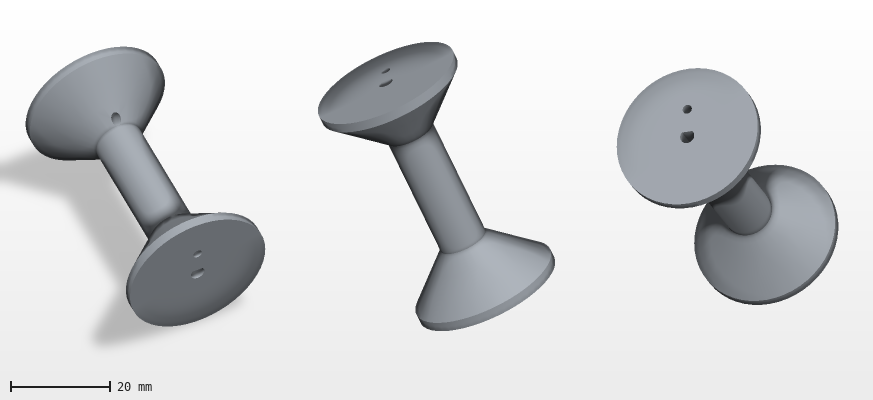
import cadquery as cq

length = 50
flange_radius = 15
core_radius = 5
rim_width = 2
cone_length = flange_radius - core_radius

bore_diameter = 3
bore_flat_height = 1

thread_hole_diameter = 1.95
thread_hole_height = 6

half_length = length / 2
rim_inner_x = half_length - rim_width
core_end_x = rim_inner_x - cone_length


def spool_body():
    """Revolve the half profile of the core, cones and rims about X."""
    return (
        cq.Workplane("XY")
        .moveTo(-half_length, 0)
        .lineTo(-half_length, flange_radius)
        .lineTo(-rim_inner_x, flange_radius)
        .lineTo(-core_end_x, core_radius)
        .lineTo(core_end_x, core_radius)
        .lineTo(rim_inner_x, flange_radius)
        .lineTo(half_length, flange_radius)
        .lineTo(half_length, 0)
        .close()
        .revolve(360, (0, 0, 0), (1, 0, 0))
    )


def axial_cylinder(diameter, height):
    """Full-length cylinder along X with its axis at the given Z height."""
    return (
        cq.Workplane("YZ", origin=(-half_length, 0, height))
        .circle(diameter / 2)
        .extrude(length)
    )


def d_bore():
    """Full-length cylinder along X, cut off flat at the top."""
    above_flat = (
        cq.Workplane("XY", origin=(0, 0, bore_flat_height))
        .rect(length, bore_diameter)
        .extrude(bore_diameter)
    )
    return axial_cylinder(bore_diameter, 0).cut(above_flat)


thread_hole = axial_cylinder(thread_hole_diameter, thread_hole_height)

result = spool_body().cut(d_bore()).cut(thread_hole)